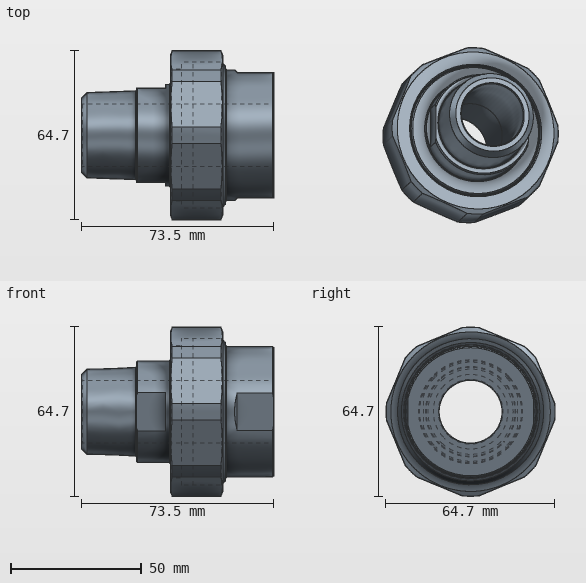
import cadquery as cq
import math


LENGTH = 73.5
BORE_RADIUS = 24.0 / 2
SEAT_X = 42.6

NUT_START = 33.95
NUT_END = 54.0
NUT_SIDES = 8
NUT_APOTHEM = 30.95
NUT_CORNER_RADIUS = 32.35
NUT_FACE_RADIUS = 30.5
NUT_CHAMFER_LENGTH = 0.7
NUT_LIP_RADIUS = 50.5 / 2
NUT_LIP_END = 38.2
NUT_BORE_RADIUS = 27.9
NUT_LIP_CHAMFER = 0.48

TAIL_TIP_RADIUS = 14.25
TAIL_TIP_LENGTH = 2.1
TAPER_START_RADIUS = 16.3
TAPER_END_RADIUS = 17.0
TAPER_END = 20.65
HUB_STEP_FLARE = 0.3
HUB_RADIUS = 19.5
HUB_CHAMFER = 0.5
HUB_FLARE = 0.405
FLANGE_RADIUS = 25.0
FLANGE_CHAMFER = 0.5
COLLAR_RADIUS = NUT_BORE_RADIUS
BORE_CHAMFER = 0.4
TAIL_FLAT_OFFSET = 18.0
TAIL_FLAT_END = 32.1

SOCKET_RADIUS = 25.0
SOCKET_CHAMFER = 0.5
SHOULDER_END = 55.0
SHOULDER_CHAMFER = 1.5
SHOULDER_FLARE = 0.5
SOCKET_FLAT_OFFSET = 23.95
SOCKET_FLAT_START = 59.5


def revolve_about_x(points):
    """Revolve a closed outline of (x, radius) points about the X axis."""
    return cq.Workplane("XY").polyline(points).close().revolve(360, (0, 0, 0), (1, 0, 0))


def cut_opposite_sides(body, outline):
    """Remove an (x, y) outline, and its mirror image in Y, over the full height of the body."""
    cutter = cq.Workplane("XY").polyline(outline).close().extrude(LENGTH, both=True)
    return body.cut(cutter).cut(cutter.mirror("XZ"))


def make_tailpiece():
    hub_start = TAPER_END + HUB_STEP_FLARE
    body = revolve_about_x([
        (BORE_CHAMFER, BORE_RADIUS),
        (0, BORE_RADIUS + BORE_CHAMFER),
        (0, TAIL_TIP_RADIUS),
        (TAIL_TIP_LENGTH, TAPER_START_RADIUS),
        (TAPER_END, TAPER_END_RADIUS),
        (hub_start, TAPER_END_RADIUS + HUB_STEP_FLARE),
        (hub_start, HUB_RADIUS - HUB_CHAMFER),
        (hub_start + HUB_CHAMFER, HUB_RADIUS),
        (NUT_START - HUB_FLARE, HUB_RADIUS),
        (NUT_START, HUB_RADIUS + HUB_FLARE),
        (NUT_START, FLANGE_RADIUS - FLANGE_CHAMFER),
        (NUT_START + FLANGE_CHAMFER, FLANGE_RADIUS),
        (NUT_LIP_END, FLANGE_RADIUS),
        (NUT_LIP_END, COLLAR_RADIUS),
        (SEAT_X, COLLAR_RADIUS),
        (SEAT_X, BORE_RADIUS),
    ])
    return cut_opposite_sides(body, [
        (hub_start, TAIL_FLAT_OFFSET),
        (TAIL_FLAT_END, TAIL_FLAT_OFFSET),
        (TAIL_FLAT_END, HUB_RADIUS + HUB_FLARE),
        (hub_start, HUB_RADIUS + HUB_FLARE),
    ])


def make_nut():
    prism = (
        cq.Workplane("YZ", origin=(NUT_START, 0, 0))
        .polygon(NUT_SIDES, 2 * NUT_APOTHEM / math.cos(math.pi / NUT_SIDES))
        .extrude(NUT_END - NUT_START)
    )
    envelope = revolve_about_x([
        (NUT_START, NUT_LIP_RADIUS + NUT_LIP_CHAMFER),
        (NUT_START, NUT_FACE_RADIUS),
        (NUT_START + NUT_CHAMFER_LENGTH, NUT_CORNER_RADIUS),
        (NUT_END - NUT_CHAMFER_LENGTH, NUT_CORNER_RADIUS),
        (NUT_END, NUT_FACE_RADIUS),
        (NUT_END, NUT_BORE_RADIUS),
        (NUT_LIP_END, NUT_BORE_RADIUS),
        (NUT_LIP_END, NUT_LIP_RADIUS),
        (NUT_START + NUT_LIP_CHAMFER, NUT_LIP_RADIUS),
    ])
    return prism.intersect(envelope)


def make_socket():
    body = revolve_about_x([
        (SEAT_X, BORE_RADIUS),
        (SEAT_X, COLLAR_RADIUS),
        (SHOULDER_END - SHOULDER_CHAMFER, COLLAR_RADIUS),
        (SHOULDER_END, COLLAR_RADIUS - SHOULDER_CHAMFER),
        (SHOULDER_END, SOCKET_RADIUS + SHOULDER_FLARE),
        (SHOULDER_END + SHOULDER_FLARE, SOCKET_RADIUS),
        (LENGTH - SOCKET_CHAMFER, SOCKET_RADIUS),
        (LENGTH, SOCKET_RADIUS - SOCKET_CHAMFER),
        (LENGTH, BORE_RADIUS),
    ])
    flat_depth = SOCKET_RADIUS - SOCKET_FLAT_OFFSET
    return cut_opposite_sides(body, [
        (SOCKET_FLAT_START, SOCKET_FLAT_OFFSET),
        (LENGTH, SOCKET_FLAT_OFFSET),
        (LENGTH, SOCKET_RADIUS),
        (SOCKET_FLAT_START - flat_depth, SOCKET_RADIUS),
    ])


tailpiece = make_tailpiece()
nut = make_nut()
socket = make_socket()

result = cq.Compound.makeCompound([tailpiece.val(), nut.val(), socket.val()])